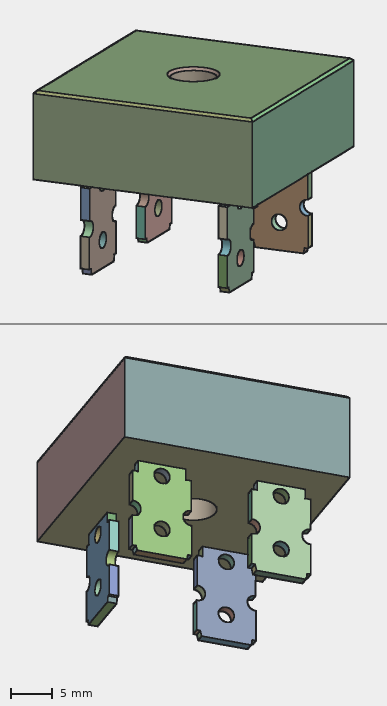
import cadquery as cq

side = 28.9
total_height = 23.2
terminal_length = 12.13
housing_height = total_height - terminal_length
edge_chamfer = 0.35

bore_diameter = 5.58
bore_mouth_diameter = 6.27
bore_chamfer = (bore_mouth_diameter - bore_diameter) / 2

blade_thickness = 1.18
neck_width = 6.12
upper_width = 7.5
lower_width = 7.63
foot_top_width = 6.7
foot_tip_width = 6.35
shoulder_depth = 1.25
notch_depth = 6.3
foot_depth = 11.32
hole_diameter = 2.0
hole_depths = (1.5, 8.65)
notch_spacing = 7.42

outer_face_offset = 9.07
inner_face_offset = 8.75
blade_offset = 7.5
far_blade_offset = 7.65
far_blade_drop = 0.2
right_blade_drop = 0.1


def make_housing():
    block = cq.Workplane("XY").box(side, side, housing_height, centered=(True, True, False))
    block = block.faces(">Z").edges().chamfer(edge_chamfer)
    block = block.faces(">Z").workplane().hole(bore_diameter)
    return block.faces(">Z").edges("%CIRCLE").chamfer(bore_chamfer)


def blade_section(width, top_depth, bottom_depth):
    """Plate centred on X = 0 and Y = 0 between two depths below the housing."""
    plate = cq.Workplane("XY").box(
        width, blade_thickness, bottom_depth - top_depth, centered=(True, True, False)
    )
    return plate.translate((0, 0, -bottom_depth))


def tapered_foot(top_depth):
    """Narrow end of the blade, tapering towards its tip."""
    outline = [
        (-foot_top_width / 2, -top_depth),
        (foot_top_width / 2, -top_depth),
        (foot_tip_width / 2, -terminal_length),
        (-foot_tip_width / 2, -terminal_length),
    ]
    return cq.Workplane("XZ").polyline(outline).close().extrude(blade_thickness / 2, both=True)


def cross_pin(x, depth):
    """Cylinder through the blade thickness, for cutting holes and notches."""
    pin = cq.Workplane("XZ").circle(hole_diameter / 2).extrude(blade_thickness, both=True)
    return pin.translate((x, 0, -depth))


def make_blade(drop=0):
    """Blade facing Y; drop lowers the shoulders and notches, but not the holes or the tip."""
    shoulder = shoulder_depth + drop
    notch = notch_depth + drop
    foot = foot_depth + drop

    blade = blade_section(neck_width, 0, shoulder)
    blade = blade.union(blade_section(upper_width, shoulder, notch))
    blade = blade.union(blade_section(lower_width, notch, foot))
    blade = blade.union(tapered_foot(foot))

    for depth in hole_depths:
        blade = blade.cut(cross_pin(0, depth))
    for direction in (-1, 1):
        blade = blade.cut(cross_pin(direction * notch_spacing / 2, notch))
    return blade


def face_x(blade):
    return blade.rotate((0, 0, 0), (0, 0, 1), 90)


blades = (
    face_x(make_blade()).translate((-outer_face_offset, -blade_offset, 0)),
    face_x(make_blade(right_blade_drop)).translate((outer_face_offset, -blade_offset, 0)),
    face_x(make_blade(far_blade_drop)).translate((-inner_face_offset, far_blade_offset, 0)),
    make_blade(right_blade_drop).translate((blade_offset, inner_face_offset, 0)),
)

result = make_housing()
for terminal in blades:
    result = result.union(terminal)